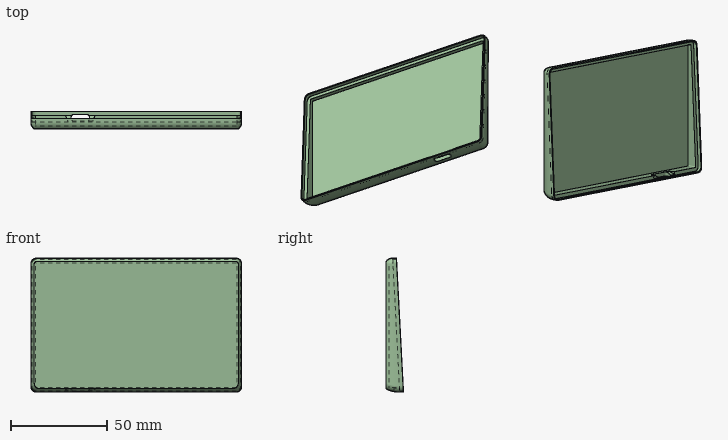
import cadquery as cq
import math

WIDTH = 109.7
HEIGHT = 69.7
BOTTOM_THICKNESS = 9.16
BACK_TILT = 3.0
CORNER_RADIUS = 3.0

RIM_DEPTH = 2.3
FRONT_INSET = 1.8
FRONT_TOP_CORNER_RADIUS = 1.2
FRONT_BOTTOM_CORNER_RADIUS = 2.8
BORDER_STEPS = 4

LIP_WALL = 0.6
LIP_DEPTH = 2.0
SIDE_WALL = 2.5
FRONT_WALL = 1.5
CAVITY_CORNER_RADIUS = CORNER_RADIUS - SIDE_WALL

PORT_X = -29.1
PORT_WIDTH = 9.5
PORT_HEIGHT = 3.4
PORT_CORNER_RADIUS = 1.3
PORT_BACK_OFFSET = 1.65

RELIEF_WIDTH = 15.4
RELIEF_FRONT_WIDTH = 13.2
RELIEF_LENGTH = 3.0
RELIEF_FLOOR = 1.0

OVERCUT = 1.0

TILT_SLOPE = math.tan(math.radians(BACK_TILT))
BOTTOM_Z = -HEIGHT / 2
BACK_MID_Y = BOTTOM_THICKNESS - TILT_SLOPE * HEIGHT / 2


def outline_wire(mid_y, slope, inset, bottom_radius, top_radius):
    """Rounded rectangle on a plane leaning by slope (dY per -dZ), at mid_y where Z = 0."""
    lean = math.atan(slope)
    plane = cq.Plane(
        origin=(0, mid_y, 0),
        xDir=(1, 0, 0),
        normal=(0, -math.cos(lean), -math.sin(lean)),
    )
    half_width = WIDTH / 2 - inset
    half_length = (HEIGHT / 2 - inset) / math.cos(lean)
    bottom_x = half_width - bottom_radius
    bottom_z = half_length - bottom_radius
    bottom_bulge = bottom_radius * math.sqrt(0.5)
    top_x = half_width - top_radius
    top_z = half_length - top_radius
    top_bulge = top_radius * math.sqrt(0.5)
    return (
        cq.Workplane(plane)
        .moveTo(-bottom_x, -half_length)
        .lineTo(bottom_x, -half_length)
        .threePointArc((bottom_x + bottom_bulge, -bottom_z - bottom_bulge), (half_width, -bottom_z))
        .lineTo(half_width, top_z)
        .threePointArc((top_x + top_bulge, top_z + top_bulge), (top_x, half_length))
        .lineTo(-top_x, half_length)
        .threePointArc((-top_x - top_bulge, top_z + top_bulge), (-half_width, top_z))
        .lineTo(-half_width, -bottom_z)
        .threePointArc((-bottom_x - bottom_bulge, -bottom_z - bottom_bulge), (-bottom_x, -half_length))
        .close()
        .val()
    )


def straight_band(mid_y, length, inset, radius):
    """Body with the tilted outline, running along Y by length from mid_y."""
    wire = outline_wire(mid_y, TILT_SLOPE, inset, radius, radius)
    return cq.Workplane(cq.Solid.extrudeLinear(wire, [], cq.Vector(0, length, 0)))


def curved_border():
    """Front part whose sides curve inward along an arc to the smaller front face."""
    split_y = BACK_MID_Y - RIM_DEPTH
    arc_radius = (split_y**2 + FRONT_INSET**2) / (2 * FRONT_INSET)
    sections = []
    for step in range(BORDER_STEPS + 1):
        progress = step / BORDER_STEPS
        inset = arc_radius - math.sqrt(arc_radius**2 - (progress * split_y) ** 2)
        inward = inset / FRONT_INSET
        bottom_radius = CORNER_RADIUS + inward * (FRONT_BOTTOM_CORNER_RADIUS - CORNER_RADIUS)
        top_radius = CORNER_RADIUS + inward * (FRONT_TOP_CORNER_RADIUS - CORNER_RADIUS)
        mid_y = split_y * (1 - progress)
        slope = TILT_SLOPE * (1 - progress)
        sections.append(outline_wire(mid_y, slope, inset, bottom_radius, top_radius))
    return cq.Workplane(cq.Solid.makeLoft(sections))


def cavity():
    """Main hollow, from the back plane to the upright inner face of the front wall."""
    hollow = straight_band(BACK_MID_Y, -BOTTOM_THICKNESS, SIDE_WALL, CAVITY_CORNER_RADIUS)
    limit = cq.Workplane("XY").box(WIDTH, BOTTOM_THICKNESS, HEIGHT, centered=(True, False, True))
    return hollow.intersect(limit.translate((0, FRONT_WALL, 0)))


def cable_port():
    """Rounded slot along Z through the bottom wall."""
    center_y = BOTTOM_THICKNESS - PORT_BACK_OFFSET - PORT_HEIGHT / 2
    return (
        cq.Workplane("XY", origin=(PORT_X, center_y, BOTTOM_Z - OVERCUT))
        .rect(PORT_WIDTH, PORT_HEIGHT)
        .extrude(SIDE_WALL + 2 * OVERCUT)
        .edges("|Z")
        .fillet(PORT_CORNER_RADIUS)
    )


def port_relief():
    """Wedge that thins the bottom wall toward the back, with sides closing toward the front."""
    back_y = BOTTOM_THICKNESS - LIP_DEPTH
    front_y = back_y - RELIEF_LENGTH
    floor_z = BOTTOM_Z + RELIEF_FLOOR
    top_z = BOTTOM_Z + SIDE_WALL
    wedge = (
        cq.Workplane("YZ", origin=(PORT_X - RELIEF_WIDTH / 2, 0, 0))
        .polyline([(back_y, floor_z), (back_y, top_z), (front_y, top_z)])
        .close()
        .extrude(RELIEF_WIDTH)
    )
    plan = (
        cq.Workplane("XY", origin=(PORT_X, 0, floor_z))
        .polyline(
            [
                (-RELIEF_WIDTH / 2, back_y),
                (RELIEF_WIDTH / 2, back_y),
                (RELIEF_FRONT_WIDTH / 2, front_y),
                (-RELIEF_FRONT_WIDTH / 2, front_y),
            ]
        )
        .close()
        .extrude(top_z - floor_z)
    )
    return wedge.intersect(plan)


body = straight_band(BACK_MID_Y, -RIM_DEPTH, 0, CORNER_RADIUS).union(curved_border())
lip_recess = straight_band(BACK_MID_Y, -LIP_DEPTH, LIP_WALL, CORNER_RADIUS - LIP_WALL)
result = body.cut(lip_recess).cut(cavity()).cut(cable_port()).cut(port_relief())